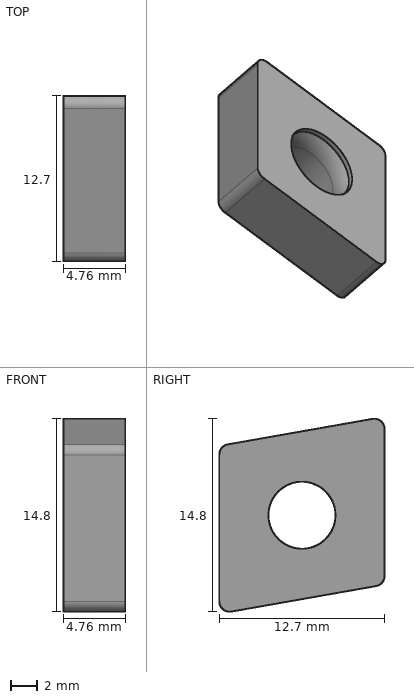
import cadquery as cq
import math

thickness = 4.76
inscribed_circle = 12.7
corner_angle = 80.0
nose_radius = 0.8
bore_diameter = 5.13
mouth_diameter = 6.06
mouth_depth = 0.35
throat_diameter = 5.98
mouth_round_radius = 2.6

half_width = inscribed_circle / 2
half_side = half_width / math.sin(math.radians(corner_angle))
edge_rise = half_width / math.tan(math.radians(corner_angle))


def make_body():
    """Rhombic plate with two upright sides, extruded along X, with all corners rounded."""
    corners = [
        (half_width, half_side + edge_rise),
        (-half_width, half_side - edge_rise),
        (-half_width, -half_side - edge_rise),
        (half_width, -half_side + edge_rise),
    ]
    plate = cq.Workplane("YZ").polyline(corners).close().extrude(thickness)
    return plate.edges("|X").fillet(nose_radius)


def make_bore():
    """Through hole along X: a short tapered mouth at X = 0, then a convex round down to the bore."""
    bore_radius = bore_diameter / 2
    mouth_radius = mouth_diameter / 2
    throat_radius = throat_diameter / 2
    flare = throat_radius - bore_radius
    sweep = math.acos(1 - flare / mouth_round_radius)
    round_end = mouth_depth + mouth_round_radius * math.sin(sweep)
    arc_middle = (
        round_end - mouth_round_radius * math.sin(sweep / 2),
        bore_radius + mouth_round_radius * (1 - math.cos(sweep / 2)),
    )
    profile = (
        cq.Workplane("XY")
        .moveTo(0, 0)
        .lineTo(0, mouth_radius)
        .lineTo(mouth_depth, throat_radius)
        .threePointArc(arc_middle, (round_end, bore_radius))
        .lineTo(thickness, bore_radius)
        .lineTo(thickness, 0)
        .close()
    )
    return profile.revolve(360, (0, 0, 0), (1, 0, 0))


result = make_body().cut(make_bore())